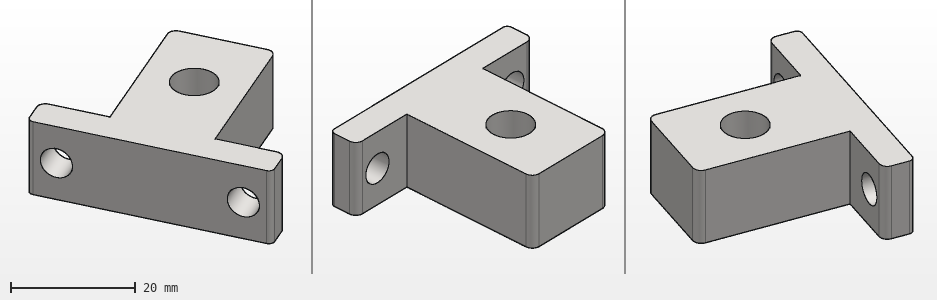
import cadquery as cq

flange_width = 42.0
total_depth = 33.0
height = 14.0
flange_thickness = 5.7
stem_width = 18.0

front_corner_radius = 1.0
back_corner_radius = 1.5

stem_hole_diameter = 8.0
stem_hole_y = 20.0
mount_hole_diameter = 5.5
mount_hole_spacing = 32.0


def rounded_flange():
    """Flange with its front face on Y = 0 and its base on Z = 0."""
    flange = cq.Workplane("XY").box(
        flange_width, flange_thickness, height, centered=(True, False, False)
    )
    flange = flange.edges("|Z and <Y").fillet(front_corner_radius)
    return flange.edges("|Z and >Y").fillet(back_corner_radius)


def rounded_stem():
    """Stem running from the front face to the rounded back end."""
    stem = cq.Workplane("XY").box(
        stem_width, total_depth, height, centered=(True, False, False)
    )
    return stem.edges("|Z and >Y").fillet(back_corner_radius)


def stem_hole():
    """Vertical through hole in the stem."""
    return (
        cq.Workplane("XY")
        .center(0, stem_hole_y)
        .circle(stem_hole_diameter / 2)
        .extrude(height)
    )


def mount_holes():
    """Pair of holes through the flange along Y, at mid height."""
    half_spacing = mount_hole_spacing / 2
    return (
        cq.Workplane("XZ")
        .pushPoints([(-half_spacing, height / 2), (half_spacing, height / 2)])
        .circle(mount_hole_diameter / 2)
        .extrude(-flange_thickness)
    )


result = rounded_flange().union(rounded_stem()).cut(stem_hole()).cut(mount_holes())